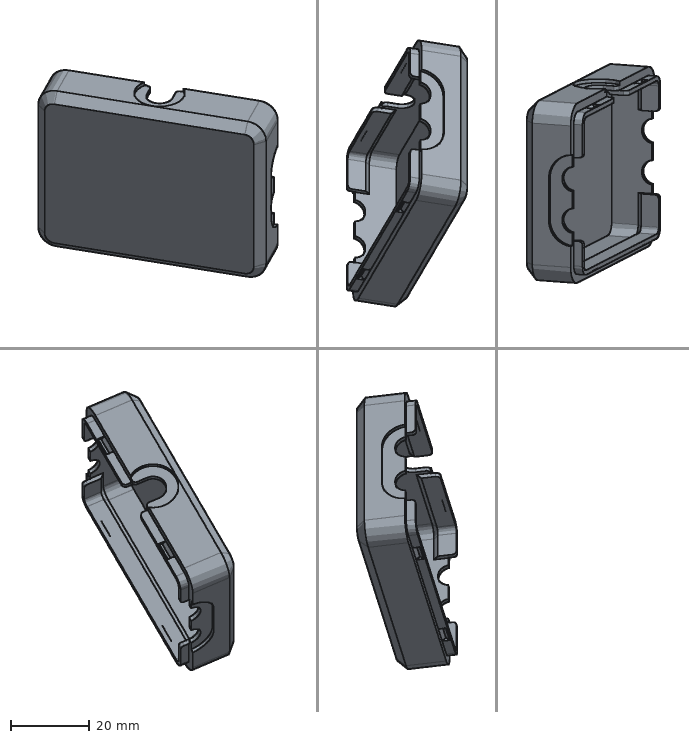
import cadquery as cq

LENGTH = 61.0
HEIGHT = 47.0
TOTAL_DEPTH = 15.4
LIP_RISE = 2.4
RIM_Y = TOTAL_DEPTH - LIP_RISE
CORNER_RADIUS = 5.0
FRONT_CHAMFER = 2.5
WALL = 2.2
FLOOR = 2.0

LIP_INSET = 2.25
LIP_INNER_INSET = 3.5
LIP_DROP = 2.45
SLOPE = LIP_INNER_INSET - WALL
SLOPE_TOP_Y = RIM_Y - LIP_DROP
SLOPE_BOTTOM_Y = SLOPE_TOP_Y - SLOPE

GROOVE_DEPTH = 1.0
GROOVE_LENGTH = 5.1
GROOVE_SPACING = 35.0
GROOVE_BELOW_EDGE = 1.4
GROOVE_Y = TOTAL_DEPTH - GROOVE_BELOW_EDGE

RECESS_DEPTH = 1.0
SEAT_DIAMETER = 13.0
TOP_HOLE_RADIUS = 3.4
TOP_HOLE_BELOW_RIM = 3.85
TOP_HOLE_Y = RIM_Y - TOP_HOLE_BELOW_RIM
TOP_EDGE_ROUND = 1.0
TOP_LIP_GAP = 9.15
TOP_LIP_ROUND = 1.2
SIDE_HOLE_DIAMETER = 6.4
SIDE_HOLE_SPACING = 10.85
SIDE_HOLE_ABOVE_RIM = 0.5
SIDE_HOLE_Y = RIM_Y + SIDE_HOLE_ABOVE_RIM
SIDE_LIP_GAP = 21.8
SIDE_LIP_ROUND = 1.0
LEFT_CENTRE_Z = 0.8
RIGHT_CENTRE_Z = -1.15

LEFT, RIGHT, TOP, BOTTOM = (-1, 0, 0), (1, 0, 0), (0, 0, 1), (0, 0, -1)


def rounded_section(inset, y):
    """Outline of the body shrunk by inset, on the plane at the given y."""
    plane = cq.Plane(origin=(0, y, 0), xDir=(1, 0, 0), normal=(0, 1, 0))
    outline = cq.Sketch().rect(LENGTH - 2 * inset, HEIGHT - 2 * inset)
    outline = outline.vertices().fillet(CORNER_RADIUS - inset)
    return cq.Workplane(plane).placeSketch(outline)


def block(inset, y_start, y_end):
    return rounded_section(inset, y_start).extrude(y_end - y_start)


def wall_plane(outward, inset=0.0):
    """Plane parallel to a side wall: local x runs along the wall, local y is global Y."""
    normal = cq.Vector(*outward)
    half_size = LENGTH / 2 if outward[0] else HEIGHT / 2
    return cq.Workplane(cq.Plane(
        origin=(normal * (half_size - inset)).toTuple(),
        xDir=cq.Vector(0, 1, 0).cross(normal).toTuple(),
        normal=outward,
    ))


def flared_gap(plane, centre, width, y_bottom, y_edge, edge_round, depth):
    """Straight gap, open towards +Y, widening through rounded edges that end at y_edge."""
    half = width / 2
    outer = half + edge_round
    y_round = y_edge - edge_round
    return (
        plane.center(centre, 0)
        .moveTo(-half, y_bottom)
        .lineTo(half, y_bottom)
        .lineTo(half, y_round)
        .radiusArc((outer, y_edge), edge_round)
        .lineTo(-outer, y_edge)
        .radiusArc((-half, y_round), edge_round)
        .close()
        .extrude(-depth)
    )


def lip_gap(outward, centre, width, edge_round):
    """Break in the lip and in the slope under it."""
    return flared_gap(
        wall_plane(outward, WALL), centre, width, SLOPE_BOTTOM_Y, TOTAL_DEPTH, edge_round, SLOPE
    )


def hollow_shell():
    body = block(0, 0, RIM_Y).faces("<Y").chamfer(FRONT_CHAMFER)
    lip = block(LIP_INSET, SLOPE_TOP_Y, TOTAL_DEPTH)
    cavity = block(WALL, FLOOR, SLOPE_BOTTOM_Y)
    slope = rounded_section(WALL, SLOPE_BOTTOM_Y).extrude(SLOPE, taper=45)
    lip_bore = block(LIP_INNER_INSET, SLOPE_TOP_Y, TOTAL_DEPTH)
    return body.union(lip).cut(cavity).cut(slope).cut(lip_bore)


def snap_groove(outward, centre):
    """Square bar turned on edge, half sunk into the lip."""
    z_face = outward[2] * (HEIGHT / 2 - LIP_INSET)
    return (
        cq.Workplane("YZ", origin=(centre - GROOVE_LENGTH / 2, GROOVE_Y, z_face))
        .polyline([(-GROOVE_DEPTH, 0), (0, -GROOVE_DEPTH), (GROOVE_DEPTH, 0), (0, GROOVE_DEPTH)])
        .close()
        .extrude(GROOVE_LENGTH)
    )


def top_opening():
    """U shaped cable slot in a round seat."""
    seat = wall_plane(TOP).center(0, TOP_HOLE_Y).circle(SEAT_DIAMETER / 2).extrude(-RECESS_DEPTH)
    seat = seat.intersect(block(0, 0, RIM_Y))
    hole = wall_plane(TOP).center(0, TOP_HOLE_Y).circle(TOP_HOLE_RADIUS).extrude(-LIP_INNER_INSET)
    slot = flared_gap(
        wall_plane(TOP), 0, 2 * TOP_HOLE_RADIUS, TOP_HOLE_Y, RIM_Y, TOP_EDGE_ROUND, WALL
    )
    gap = lip_gap(TOP, 0, TOP_LIP_GAP, TOP_LIP_ROUND)
    return seat.union(hole).union(slot).union(gap)


def side_opening(outward, centre):
    """Two round cable holes, cut open by the rim, in a shared seat."""
    middle = wall_plane(outward).center(centre, SIDE_HOLE_Y)
    seat = middle.slot2D(SIDE_HOLE_SPACING + SEAT_DIAMETER, SEAT_DIAMETER).extrude(-RECESS_DEPTH)
    half = SIDE_HOLE_SPACING / 2
    holes = middle.pushPoints([(-half, 0), (half, 0)]).circle(SIDE_HOLE_DIAMETER / 2)
    holes = holes.extrude(-LIP_INNER_INSET)
    gap = lip_gap(outward, centre, SIDE_LIP_GAP, SIDE_LIP_ROUND)
    return seat.union(holes).union(gap)


result = hollow_shell()
for side in (TOP, BOTTOM):
    for groove_x in (-GROOVE_SPACING / 2, GROOVE_SPACING / 2):
        result = result.cut(snap_groove(side, groove_x))
result = result.cut(top_opening())
result = result.cut(side_opening(LEFT, LEFT_CENTRE_Z))
result = result.cut(side_opening(RIGHT, -RIGHT_CENTRE_Z))